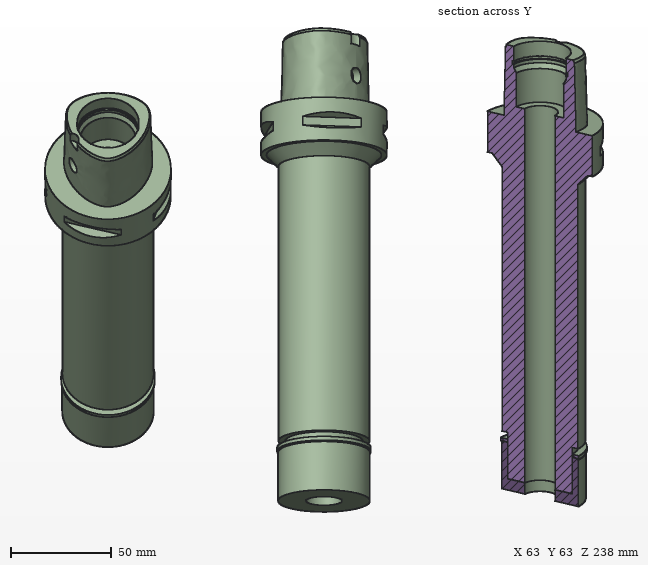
import cadquery as cq
import math


shank_length = 38.0
shank_base_width = 44.3
shank_taper = 1 / 20
lobe_height = 1.5
tip_chamfer_length = 1.5
tip_chamfer_inset = 0.7
profile_points = 72

flange_radius = 31.5
flange_length = 22.0
cone_start_radius = 28.75

groove_count = 4
groove_first_angle = 45.0
groove_floor_distance = 27.8
groove_floor_width = 4.4
groove_side_angle = 27.0
groove_center_z = -11.6

body_radius = 22.8
body_end_z = -169.2
cone_end_z = -flange_length - (cone_start_radius - body_radius)
spigot_radius = 19.4

nose_z = -200.0
nut_radius = 23.0
nut_end_wall = 6.0
nut_chamfer = 0.6
ring_radius = 23.5
ring_top_z = -172.6
ring_height = 1.9
ring_bottom_z = ring_top_z - ring_height
spigot_end_z = nose_z + nut_end_wall

mouth_radius = 15.5
relief_radius = 16.5
relief_top_depth = 8.0
relief_bottom_depth = 9.6
seat_top_depth = 11.5
seat_bottom_depth = 14.0
clamp_bore_radius = 14.0
clamp_bore_depth = 32.0
through_radius = 9.0

notch_radius = 4.0
notch_depth = 6.1
notch_center_y = -21.3
cross_hole_radius = 4.0
cross_hole_z = 16.0
cross_hole_bottom_y = -15.4


def polygon_point(width, angle):
    """Point of a three-lobed curve of constant width whose first lobe is on +Y."""
    phase = 3 * (angle - math.pi / 2)
    support = width / 2 + lobe_height * math.cos(phase)
    slope = -3 * lobe_height * math.sin(phase)
    x = support * math.cos(angle) - slope * math.sin(angle)
    y = support * math.sin(angle) + slope * math.cos(angle)
    return cq.Vector(x, y, 0)


def polygon_wire(width, z):
    """Closed three-lobed section at height z, starting on the -Y side."""
    step = 2 * math.pi / profile_points
    points = [polygon_point(width, -math.pi / 2 + i * step) for i in range(profile_points)]
    edge = cq.Edge.makeSpline(points, periodic=True)
    return cq.Wire.assembleEdges([edge]).translate(cq.Vector(0, 0, z))


def revolved(points):
    """Solid of revolution about Z from (radius, z) points."""
    return cq.Workplane("XZ").polyline(points).close().revolve(360, (0, 0, 0), (0, 1, 0))


def make_shank():
    shoulder_z = shank_length - tip_chamfer_length
    shoulder_width = shank_base_width - shank_taper * shoulder_z
    tip_width = shoulder_width - 2 * tip_chamfer_inset
    base = polygon_wire(shank_base_width, 0)
    shoulder = polygon_wire(shoulder_width, shoulder_z)
    tip = polygon_wire(tip_width, shank_length)
    taper = cq.Solid.makeLoft([base, shoulder], True)
    chamfer = cq.Solid.makeLoft([shoulder, tip], True)
    return cq.Workplane(taper).union(cq.Workplane(chamfer))


def make_body():
    return revolved([
        (0, 0),
        (flange_radius, 0),
        (flange_radius, -flange_length),
        (cone_start_radius, -flange_length),
        (body_radius, cone_end_z),
        (body_radius, body_end_z),
        (spigot_radius, body_end_z),
        (spigot_radius, spigot_end_z),
        (0, spigot_end_z),
    ])


def make_bore():
    return revolved([
        (0, shank_length),
        (mouth_radius, shank_length),
        (mouth_radius, shank_length - relief_top_depth),
        (relief_radius, shank_length - relief_top_depth),
        (relief_radius, shank_length - relief_bottom_depth),
        (mouth_radius, shank_length - relief_bottom_depth),
        (mouth_radius, shank_length - seat_top_depth),
        (clamp_bore_radius, shank_length - seat_bottom_depth),
        (clamp_bore_radius, shank_length - clamp_bore_depth),
        (through_radius, shank_length - clamp_bore_depth),
        (through_radius, nose_z),
        (0, nose_z),
    ])


def make_groove(angle):
    """Straight groove with sloped sides, cut across the flange rim at the given angle."""
    depth = flange_radius - groove_floor_distance
    floor_half = groove_floor_width / 2
    mouth_half = floor_half + depth * math.tan(math.radians(groove_side_angle))
    section = [
        (groove_floor_distance, groove_center_z - floor_half),
        (flange_radius, groove_center_z - mouth_half),
        (flange_radius, groove_center_z + mouth_half),
        (groove_floor_distance, groove_center_z + floor_half),
    ]
    groove = cq.Workplane("XZ").polyline(section).close().extrude(flange_radius, both=True)
    return groove.rotate((0, 0, 0), (0, 0, 1), angle)


def make_key_notch():
    notch = cq.Workplane("XY", origin=(0, notch_center_y, shank_length))
    return notch.circle(notch_radius).extrude(-notch_depth)


def make_cross_hole():
    """Blind radial hole from the -Y side, stopping short of the clamping bore."""
    hole = cq.Workplane("XZ", origin=(0, cross_hole_bottom_y, cross_hole_z))
    return hole.circle(cross_hole_radius).extrude(shank_base_width / 2)


def make_holder():
    holder = make_shank().union(make_body())
    holder = holder.cut(make_bore())
    for i in range(groove_count):
        holder = holder.cut(make_groove(groove_first_angle + i * 360 / groove_count))
    holder = holder.cut(make_key_notch())
    return holder.cut(make_cross_hole())


def make_ring():
    return revolved([
        (spigot_radius, ring_top_z),
        (ring_radius, ring_top_z),
        (ring_radius, ring_bottom_z),
        (spigot_radius, ring_bottom_z),
    ])


def make_nut():
    return revolved([
        (spigot_radius, ring_bottom_z),
        (nut_radius - nut_chamfer, ring_bottom_z),
        (nut_radius, ring_bottom_z - nut_chamfer),
        (nut_radius, nose_z),
        (through_radius, nose_z),
        (through_radius, spigot_end_z),
        (spigot_radius, spigot_end_z),
    ])


holder = make_holder()
ring = make_ring()
nut = make_nut()

result = cq.Compound.makeCompound([holder.val(), ring.val(), nut.val()])